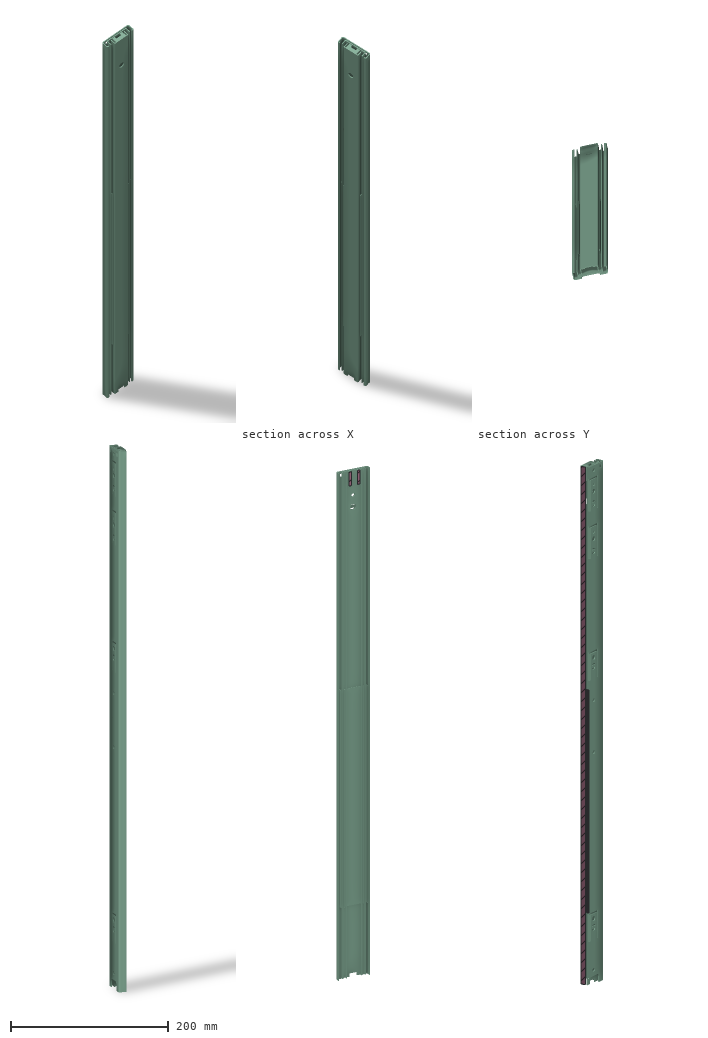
import cadquery as cq


LENGTH = 700.0
WIDTH = 44.98
DEPTH = 12.7
SHEET = 1.2

OUTER_DEPTH = 10.7
LIP_WIDTH = 2.2
OUTER_BEND = 2.3
LIP_ROUND = 1.1
RACE_START = 3.4
RACE_END = 7.4
RACE_DEPTH = 0.15

NESTED_BOTTOM = 1.5

MIDDLE_BACK = 2.2
MIDDLE_FRONT = 10.2
MIDDLE_WIDTH = 33.0
MIDDLE_BEND = 1.5

INNER_BACK = 5.0
INNER_WIDTH = 23.2
INNER_BEND = 1.0

CAGE_SHEET = 0.6
CAGE_DEPTH = 7.0
CAGE_BEND = 0.5
CAGE_BOTTOM = 100.0
CAGE_LENGTH = 300.0
OUTER_CAGE_BACK = 1.4
OUTER_CAGE_WIDTH = 38.0
INNER_CAGE_BACK = 3.8
INNER_CAGE_WIDTH = 27.4

TONGUE_WIDTH = 14.0
TONGUE_SLOT = 2.5
SCREW_DIAMETER = 6.4
ACCESS_DIAMETER = 8.2
ACCESS_BRIDGE = 3.6
PILOT_DIAMETER = 4.4
LONG_TONGUE_SCREWS = (665.0, 601.0)
LONG_TONGUE_RISE = 19.0
LONG_TONGUE_DROP = 25.0
LONG_ACCESS_DROP = 16.5
KEYWAY_RISE = 9.0
KEYWAY_LENGTH = 4.4
KEYWAY_WIDTH = 3.0
SHORT_TONGUE_SCREWS = (441.0, 89.0)
SHORT_TONGUE_RISE = 9.0
SHORT_TONGUE_DROP = 29.0
SHORT_ACCESS_DROP = 12.0

RIVET_DIAMETER = 4.6
RIVET_HEIGHTS = (693.2, 383.2, 313.0, 20.0)
STOP_WINDOW_OFFSET = 15.4
STOP_WINDOW_WIDTH = 4.0
STOP_WINDOW_HEIGHT = 4.5
STOP_WINDOW_CENTRE = 694.5

END_NOTCH_WIDTH = 23.6
END_NOTCH_HEIGHT = 11.5
END_NOTCH_ROUND = 4.0

BUMPER_WIDTH = 18.6
BUMPER_TOP = 9.0
BUMPER_GAP_WIDTH = 10.6
BUMPER_GAP_TOP = 6.0

STOP_WIDTH = 16.8
STOP_GAP_WIDTH = 8.4
STOP_BACK = 4.0
STOP_WEB_BACK = 7.4
STOP_LENGTH = 20.0


def box(x_start, x_end, y_width, z_start, z_end, y_centre=0.0):
    """Block between two X and two Z values, centred on y_centre."""
    block = cq.Workplane("XY").box(x_end - x_start, y_width, z_end - z_start, centered=(False, True, False))
    return block.translate((x_start, y_centre, z_start))


def web_hole(x_start, x_end, diameter, z):
    """Round cutter through a web, along X."""
    cutter = cq.Workplane("YZ").center(0, z).circle(diameter / 2).extrude(x_end - x_start)
    return cutter.translate((x_start, 0, 0))


def channel(back, front, width, sheet, bend, z_start, z_end, lip=0.0):
    """C-channel with its web at the back (-X) and its mouth at the front; lip narrows the mouth."""
    body = box(back, front, width, z_start, z_end).edges("|Z and <X").fillet(bend)
    cavity_front = front - sheet if lip else front
    body = body.cut(box(back + sheet, cavity_front, width - 2 * sheet, z_start, z_end))
    return body.cut(box(back + sheet, front, width - 2 * (sheet + lip), z_start, z_end))


def race_groove(side):
    """Shallow arc-shaped groove along the outside of one flange; side is +1 or -1."""
    flange = side * WIDTH / 2
    return (
        cq.Workplane("XY")
        .moveTo(RACE_START, flange)
        .threePointArc(((RACE_START + RACE_END) / 2, flange - side * RACE_DEPTH), (RACE_END, flange))
        .close()
        .extrude(LENGTH)
    )


def tongue_slot(top, bottom):
    """U-shaped slot that outlines a tongue in the outer web."""
    outline = box(0, SHEET, TONGUE_WIDTH + 2 * TONGUE_SLOT, bottom, top)
    return outline.cut(box(0, SHEET, TONGUE_WIDTH, bottom, top - TONGUE_SLOT))


def keyway(z):
    """Upright slot with round ends."""
    return cq.Workplane("YZ").center(0, z).slot2D(KEYWAY_LENGTH, KEYWAY_WIDTH, 90).extrude(SHEET)


def access_hole(screw, drop):
    """Round hole below a screw hole, split in two by a level bridge."""
    z = screw - drop
    bridge = box(0, SHEET, ACCESS_DIAMETER, z - ACCESS_BRIDGE / 2, z + ACCESS_BRIDGE / 2)
    return web_hole(0, SHEET, ACCESS_DIAMETER, z).cut(bridge)


def stop_window(side):
    """Rectangular window near the upper end of the outer web; side is +1 or -1."""
    bottom = STOP_WINDOW_CENTRE - STOP_WINDOW_HEIGHT / 2
    top = STOP_WINDOW_CENTRE + STOP_WINDOW_HEIGHT / 2
    return box(0, SHEET, STOP_WINDOW_WIDTH, bottom, top, side * STOP_WINDOW_OFFSET)


def end_notch():
    """Notch with rounded upper corners."""
    return box(0, SHEET, END_NOTCH_WIDTH, 0, END_NOTCH_HEIGHT).edges("|X and >Z").fillet(END_NOTCH_ROUND)


def make_outer_rail():
    rail = channel(0, OUTER_DEPTH, WIDTH, SHEET, OUTER_BEND, 0, LENGTH, LIP_WIDTH)
    rail = rail.faces(">X").edges("<Y or >Y").fillet(LIP_ROUND)
    for side in (-1, 1):
        rail = rail.cut(race_groove(side))
        rail = rail.cut(stop_window(side))
    for screw in LONG_TONGUE_SCREWS:
        rail = rail.cut(tongue_slot(screw + LONG_TONGUE_RISE, screw - LONG_TONGUE_DROP))
        rail = rail.cut(keyway(screw + KEYWAY_RISE))
        rail = rail.cut(web_hole(0, SHEET, SCREW_DIAMETER, screw))
        rail = rail.cut(access_hole(screw, LONG_ACCESS_DROP))
    for screw in SHORT_TONGUE_SCREWS:
        rail = rail.cut(tongue_slot(screw + SHORT_TONGUE_RISE, screw - SHORT_TONGUE_DROP))
        rail = rail.cut(web_hole(0, SHEET, SCREW_DIAMETER, screw))
        rail = rail.cut(access_hole(screw, SHORT_ACCESS_DROP))
    for height in RIVET_HEIGHTS:
        rail = rail.cut(web_hole(0, SHEET, RIVET_DIAMETER, height))
    return rail.cut(end_notch())


def make_middle_rail():
    rail = channel(MIDDLE_BACK, MIDDLE_FRONT, MIDDLE_WIDTH, SHEET, MIDDLE_BEND, NESTED_BOTTOM, LENGTH)
    web_front = MIDDLE_BACK + SHEET
    rail = rail.cut(box(MIDDLE_BACK, web_front, BUMPER_WIDTH, NESTED_BOTTOM, BUMPER_TOP))
    access = LONG_TONGUE_SCREWS[0] - LONG_ACCESS_DROP
    rail = rail.cut(web_hole(MIDDLE_BACK, web_front, PILOT_DIAMETER, LONG_TONGUE_SCREWS[0]))
    return rail.cut(web_hole(MIDDLE_BACK, web_front, ACCESS_DIAMETER, access))


def make_inner_rail():
    rail = channel(-DEPTH, -INNER_BACK, INNER_WIDTH, SHEET, INNER_BEND, NESTED_BOTTOM, LENGTH)
    rail = rail.mirror("YZ")
    web_back = DEPTH - SHEET
    rail = rail.cut(box(web_back, DEPTH, BUMPER_GAP_WIDTH, NESTED_BOTTOM, BUMPER_GAP_TOP))
    access = LONG_TONGUE_SCREWS[0] - LONG_ACCESS_DROP
    return rail.cut(web_hole(web_back, DEPTH, ACCESS_DIAMETER, access))


def make_cage(back, width):
    top = CAGE_BOTTOM + CAGE_LENGTH
    return channel(back, back + CAGE_DEPTH, width, CAGE_SHEET, CAGE_BEND, CAGE_BOTTOM, top)


def make_bumper():
    """U-shaped pad filling the notch in the middle rail's web."""
    front = MIDDLE_BACK + SHEET
    pad = box(MIDDLE_BACK, front, BUMPER_WIDTH, NESTED_BOTTOM, BUMPER_TOP)
    return pad.cut(box(MIDDLE_BACK, front, BUMPER_GAP_WIDTH, NESTED_BOTTOM, BUMPER_GAP_TOP))


def make_stop_block():
    """C-shaped block seated on the inner rail's web, with its legs towards the middle rail."""
    bottom = LENGTH - STOP_LENGTH
    block = box(STOP_BACK, DEPTH - SHEET, STOP_WIDTH, bottom, LENGTH)
    return block.cut(box(STOP_BACK, STOP_WEB_BACK, STOP_GAP_WIDTH, bottom, LENGTH))


outer_rail = make_outer_rail()
middle_rail = make_middle_rail()
inner_rail = make_inner_rail()
outer_cage = make_cage(OUTER_CAGE_BACK, OUTER_CAGE_WIDTH)
inner_cage = make_cage(INNER_CAGE_BACK, INNER_CAGE_WIDTH)
bumper = make_bumper()
stop_block = make_stop_block()

result = cq.Compound.makeCompound([
    outer_rail.val(),
    middle_rail.val(),
    inner_rail.val(),
    outer_cage.val(),
    inner_cage.val(),
    bumper.val(),
    stop_block.val(),
])